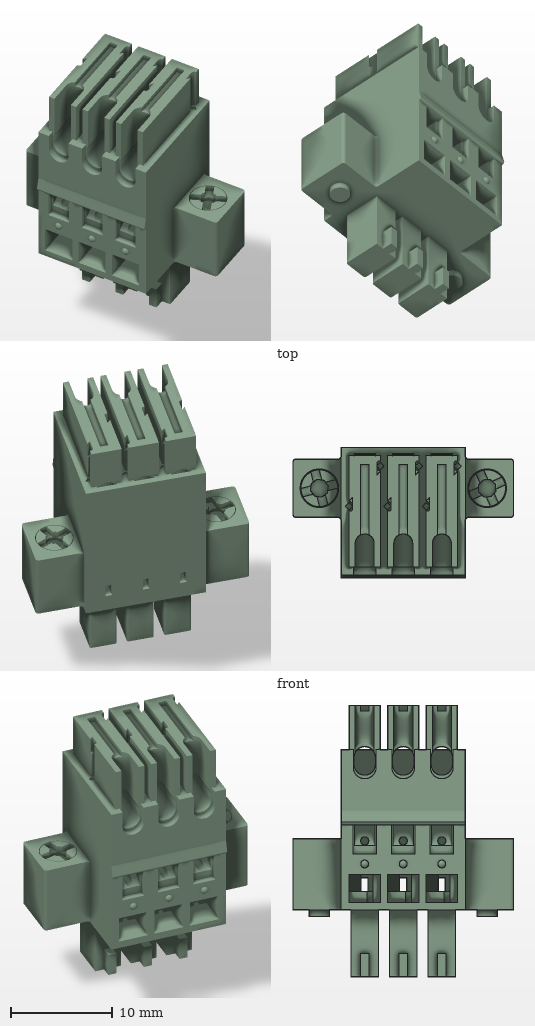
import cadquery as cq
import math

POLES = 3
PITCH = 3.8
pole_x = [(i - (POLES - 1) / 2) * PITCH for i in range(POLES)]

TOTAL_HEIGHT = 26.8
HOUSING_WIDTH = 12.25
HOUSING_DEPTH = 12.6
HOUSING_BOTTOM = 6.62
HOUSING_TOP = 22.43

OVERALL_WIDTH = 21.82
FLANGE_TOP = 13.65
FLANGE_FRONT = 5.68
FLANGE_BACK = 11.45
FLANGE_RADIUS = 0.32

SCREW_X = 8.28
SCREW_Y = (FLANGE_FRONT + FLANGE_BACK) / 2
SCREW_HOLE_DIA = 3.8
SCREW_HEAD_DIA = 3.65
SCREW_HEAD_HEIGHT = 2.15
SHANK_DIA = 2.0
SHANK_OVERHANG = 0.67
CROSS_WIDTH = 0.85
CROSS_DEPTH = 0.67
CROSS_CENTER_WIDTH = 1.7
CROSS_CENTER_DEPTH = 1.07
PIT_SIDES = 8
PIT_SIDE_ANGLE = 360 / PIT_SIDES
LEFT_CROSS_TURN = 14
RIGHT_CROSS_TURN = 24

LEVER_WIDTH = 3.08
LEVER_FRONT = 0.78
LEVER_BACK = 11.8
LEVER_BOTTOM = 16.62
SLOT_WIDTH = 0.85
SLOT_BACK = 10.9
SLOT_DEPTH = 0.55
SCOOP_WIDTH = 1.88
SCOOP_BACK = 4.05
CHANNEL_DIA = 2.1
CHANNEL_BOTTOM = 19.9
CHANNEL_TOP = 22.73

NOTCH_DEPTH = 0.35
NOTCH_FRONT = 6.3
NOTCH_BACK = 7.32
NOTCH_UNDERCUT = 0.35
NOTCH_CHAMFER = 0.15
NOTCH_TURN_Y = 8.76
KEY_FRONT = 7.08
KEY_TOP = 25.17
DIAMOND_Y = 6.78
DIAMOND_HALF_DIAGONAL = 0.38
DIAMOND_DEPTH = 0.27

FRONT_NOTCH_WIDTH = 2.25
FRONT_NOTCH_BOTTOM = 19.56
RELIEF_WIDTH = 2.1
RELIEF_DEPTH = 0.2
RELIEF_HEIGHT = 3.22

FRONT_PROTRUSION = 0.3
BEAD_TOP = 16.4
BEAD_BOTTOM = 15
BEAD_CORNER = 0.27
DOME_DIA = 0.8
DOME_Z = 11.15

WINDOW_WIDTH = 2.33
WINDOW_BOTTOM = 12.11
WINDOW_DEPTH = 0.65
RAMP_WIDTH = 2.06
RAMP_BOTTOM = 12.97
RAMP_LENGTH = 3.35
TEST_HOLE_DIA = 0.8
TEST_HOLE_Z = 13.43
TEST_HOLE_END = 4.82

ENTRY_WIDTH = 3.08
ENTRY_BOTTOM = 7.37
ENTRY_TOP = 10.1
ENTRY_DEPTH = 3.22
FUNNEL_BOTTOM = 8.45
FUNNEL_RIGHT = 0.8
FUNNEL_END = 6.97
WIRE_HOLE_LEFT = -0.35
WIRE_HOLE_RIGHT = 0.32
WIRE_HOLE_TOP = 9.78
GROOVE_RADIUS = 0.55

PLUG_WIDTH = 2.73
PLUG_FRONT = 6.45
PLUG_BACK = 10.53
PLUG_EDGE_RADIUS = 0.2
FOOT_WIDTH = 0.85
FOOT_FRONT = 5.35
FOOT_HEIGHT = 2.33


def block(x0, x1, y0, y1, z0, z1):
    """Axis-aligned box between the given limits."""
    return cq.Workplane().box(x1 - x0, y1 - y0, z1 - z0, centered=False).translate((x0, y0, z0))


def centred_block(x, width, y0, y1, z0, z1):
    """Box of the given width, centred on x."""
    return block(x - width / 2, x + width / 2, y0, y1, z0, z1)


def rod_y(x, z, diameter, y0, y1):
    """Cylinder along Y."""
    return cq.Workplane("XZ", origin=(x, y0, z)).circle(diameter / 2).extrude(y0 - y1)


def rod_z(x, y, diameter, z0, z1):
    """Cylinder along Z."""
    return cq.Workplane(origin=(x, y, z0)).circle(diameter / 2).extrude(z1 - z0)


def prism_z(points, z0, z1):
    """Polygon in XY extruded along Z."""
    return cq.Workplane(origin=(0, 0, z0)).polyline(points).close().extrude(z1 - z0)


def prism_x(points, x, width):
    """Polygon in YZ extruded along X, centred on x."""
    return cq.Workplane("YZ", origin=(x, 0, 0)).polyline(points).close().extrude(width / 2, both=True)


def turned_pair(shape, x):
    """Shape for a lever's left side together with its copy turned half round for the right side."""
    turned = shape.rotate((x, NOTCH_TURN_Y, 0), (x, NOTCH_TURN_Y, 1), 180)
    return [shape, turned]



def lever_block(x):
    """Lever outline with its latch notches and the keys that partly fill them."""
    body = centred_block(x, LEVER_WIDTH, LEVER_FRONT, LEVER_BACK, LEVER_BOTTOM, TOTAL_HEIGHT)
    edge = x - LEVER_WIDTH / 2
    inner = edge + NOTCH_DEPTH
    undercut_tip = (inner, NOTCH_BACK + NOTCH_UNDERCUT)
    notch_points = [
        (edge, NOTCH_FRONT),
        (inner - NOTCH_CHAMFER, NOTCH_FRONT),
        (inner, NOTCH_FRONT + NOTCH_CHAMFER),
        undercut_tip,
        (edge, NOTCH_BACK),
    ]
    key_points = [undercut_tip, (edge, NOTCH_BACK), (inner, KEY_FRONT)]
    notch = prism_z(notch_points, LEVER_BOTTOM, TOTAL_HEIGHT)
    notch = notch.cut(prism_z(key_points, LEVER_BOTTOM, KEY_TOP))
    for cutter in turned_pair(notch, x):
        body = body.cut(cutter)
    return body


def make_lever(x):
    lever = lever_block(x)

    lever = lever.cut(
        centred_block(x, SLOT_WIDTH, LEVER_FRONT, SLOT_BACK, TOTAL_HEIGHT - SLOT_DEPTH, TOTAL_HEIGHT)
    )

    lower_center = CHANNEL_BOTTOM + CHANNEL_DIA / 2
    upper_center = CHANNEL_TOP - CHANNEL_DIA / 2
    round_y = SCOOP_BACK - SCOOP_WIDTH / 2
    scoop = centred_block(x, SCOOP_WIDTH, LEVER_FRONT, round_y, lower_center, TOTAL_HEIGHT)
    scoop = scoop.union(rod_z(x, round_y, SCOOP_WIDTH, lower_center, TOTAL_HEIGHT))

    channel = centred_block(x, CHANNEL_DIA, LEVER_FRONT, LEVER_BACK, lower_center, upper_center)
    for z in (lower_center, upper_center):
        channel = channel.union(rod_y(x, z, CHANNEL_DIA, LEVER_FRONT, LEVER_BACK))
    return lever.cut(scoop).cut(channel)



def make_screw(x, turn):
    """Flush screw with a cross recess turned by the given angle."""
    head_bottom = FLANGE_TOP - SCREW_HEAD_HEIGHT
    screw = rod_z(x, SCREW_Y, SCREW_HEAD_DIA, head_bottom, FLANGE_TOP)
    screw = screw.union(rod_z(x, SCREW_Y, SHANK_DIA, HOUSING_BOTTOM - SHANK_OVERHANG, head_bottom))
    for angle in (turn, turn + 90):
        arm = (
            cq.Workplane(origin=(x, SCREW_Y, FLANGE_TOP - CROSS_DEPTH))
            .transformed(rotate=(0, 0, angle))
            .rect(SCREW_HEAD_DIA, CROSS_WIDTH)
            .extrude(CROSS_DEPTH)
        )
        screw = screw.cut(arm)
    center_pit = (
        cq.Workplane(origin=(x, SCREW_Y, FLANGE_TOP - CROSS_CENTER_DEPTH))
        .transformed(rotate=(0, 0, turn + PIT_SIDE_ANGLE / 2))
        .polygon(PIT_SIDES, CROSS_CENTER_WIDTH, circumscribed=True)
        .extrude(CROSS_CENTER_DEPTH)
    )
    return screw.cut(center_pit)



def make_plug(x):
    plug = centred_block(x, PLUG_WIDTH, PLUG_FRONT, PLUG_BACK, 0, HOUSING_BOTTOM)
    plug = plug.edges("|Z and >Y").fillet(PLUG_EDGE_RADIUS)
    return plug.union(centred_block(x, FOOT_WIDTH, FOOT_FRONT, PLUG_FRONT, 0, FOOT_HEIGHT))



def flanges():
    """Both flanges as one bar across the housing, with rounded corners and blended roots."""
    height = FLANGE_TOP - HOUSING_BOTTOM
    depth = FLANGE_BACK - FLANGE_FRONT
    bar = centred_block(0, OVERALL_WIDTH, FLANGE_FRONT, FLANGE_BACK, HOUSING_BOTTOM, FLANGE_TOP)
    bar = bar.edges("|Z").fillet(FLANGE_RADIUS)
    root = centred_block(
        0,
        HOUSING_WIDTH + 2 * FLANGE_RADIUS,
        FLANGE_FRONT - FLANGE_RADIUS,
        FLANGE_BACK + FLANGE_RADIUS,
        HOUSING_BOTTOM,
        FLANGE_TOP,
    )
    blend_x = HOUSING_WIDTH / 2 + FLANGE_RADIUS
    blend_y = depth / 2 + FLANGE_RADIUS
    corners = [(sx * blend_x, sy * blend_y) for sx in (-1, 1) for sy in (-1, 1)]
    hollows = (
        cq.Workplane(origin=(0, SCREW_Y, HOUSING_BOTTOM))
        .pushPoints(corners)
        .circle(FLANGE_RADIUS)
        .extrude(height)
    )
    return bar.union(root.cut(hollows))


def front_bead():
    """Snap bead across the front with a sloped upper face and a rounded lower corner."""
    corner_shift = BEAD_CORNER * (1 - math.sqrt(0.5))
    return (
        cq.Workplane("YZ", origin=(-HOUSING_WIDTH / 2, 0, 0))
        .moveTo(0, BEAD_TOP)
        .lineTo(-FRONT_PROTRUSION, BEAD_BOTTOM + BEAD_CORNER)
        .threePointArc(
            (-FRONT_PROTRUSION + corner_shift, BEAD_BOTTOM + corner_shift),
            (-FRONT_PROTRUSION + BEAD_CORNER, BEAD_BOTTOM),
        )
        .lineTo(0, BEAD_BOTTOM)
        .close()
        .extrude(HOUSING_WIDTH)
    )


def marker_dome(x):
    radius = DOME_DIA / 2
    return cq.Workplane().sphere(radius).translate((x, radius - FRONT_PROTRUSION, DOME_Z))


def screw_hole(x):
    counterbore = rod_z(x, SCREW_Y, SCREW_HOLE_DIA, FLANGE_TOP - SCREW_HEAD_HEIGHT, FLANGE_TOP)
    return counterbore.union(rod_z(x, SCREW_Y, SHANK_DIA, HOUSING_BOTTOM, FLANGE_TOP))


def lever_openings(x):
    """Lever pocket, latch recesses, front notch and the tapered relief behind the lever."""
    cutters = [lever_block(x)]

    edge = x - LEVER_WIDTH / 2
    half = DIAMOND_HALF_DIAGONAL
    diamond_points = [
        (edge - half, DIAMOND_Y),
        (edge, DIAMOND_Y - half),
        (edge + half, DIAMOND_Y),
        (edge, DIAMOND_Y + half),
    ]
    cutters += turned_pair(prism_z(diamond_points, HOUSING_TOP - DIAMOND_DEPTH, HOUSING_TOP), x)

    notch_center = FRONT_NOTCH_BOTTOM + FRONT_NOTCH_WIDTH / 2
    cutters.append(centred_block(x, FRONT_NOTCH_WIDTH, 0, LEVER_FRONT, notch_center, HOUSING_TOP))
    cutters.append(rod_y(x, notch_center, FRONT_NOTCH_WIDTH, 0, LEVER_FRONT))

    relief_points = [
        (LEVER_BACK, HOUSING_TOP),
        (LEVER_BACK + RELIEF_DEPTH, HOUSING_TOP),
        (LEVER_BACK, HOUSING_TOP - RELIEF_HEIGHT),
    ]
    cutters.append(prism_x(relief_points, x, RELIEF_WIDTH))
    return cutters


def test_window(x):
    """Window under the bead, with a narrower ramp rising behind it and a test hole in the ramp."""
    ramp_points = [
        (WINDOW_DEPTH, RAMP_BOTTOM),
        (WINDOW_DEPTH + RAMP_LENGTH, BEAD_BOTTOM),
        (WINDOW_DEPTH, BEAD_BOTTOM),
    ]
    return [
        centred_block(x, WINDOW_WIDTH, 0, WINDOW_DEPTH, WINDOW_BOTTOM, BEAD_BOTTOM),
        prism_x(ramp_points, x, RAMP_WIDTH),
        rod_y(x, TEST_HOLE_Z, TEST_HOLE_DIA, WINDOW_DEPTH, TEST_HOLE_END),
    ]


def wire_entry(x):
    """Entry pocket, funnel with a slanted left wall, through hole and rounded groove."""
    funnel_points = [
        (x - ENTRY_WIDTH / 2, ENTRY_DEPTH),
        (x + FUNNEL_RIGHT, ENTRY_DEPTH),
        (x + FUNNEL_RIGHT, FUNNEL_END),
        (x + WIRE_HOLE_LEFT, FUNNEL_END),
    ]
    groove_right = x + FUNNEL_RIGHT
    groove_left = groove_right - GROOVE_RADIUS
    groove = block(
        groove_left, groove_right, ENTRY_DEPTH, ENTRY_DEPTH + GROOVE_RADIUS, ENTRY_BOTTOM, FUNNEL_BOTTOM
    ).intersect(rod_z(groove_right, ENTRY_DEPTH, 2 * GROOVE_RADIUS, ENTRY_BOTTOM, FUNNEL_BOTTOM))
    return [
        centred_block(x, ENTRY_WIDTH, 0, ENTRY_DEPTH, ENTRY_BOTTOM, ENTRY_TOP),
        prism_z(funnel_points, FUNNEL_BOTTOM, ENTRY_TOP),
        block(
            x + WIRE_HOLE_LEFT,
            x + WIRE_HOLE_RIGHT,
            FUNNEL_END,
            HOUSING_DEPTH,
            FUNNEL_BOTTOM,
            WIRE_HOLE_TOP,
        ),
        groove,
    ]


def make_housing():
    housing = centred_block(0, HOUSING_WIDTH, 0, HOUSING_DEPTH, HOUSING_BOTTOM, HOUSING_TOP)
    housing = housing.union(flanges()).union(front_bead())
    for x in pole_x:
        housing = housing.union(marker_dome(x))
        for cutter in lever_openings(x) + test_window(x) + wire_entry(x):
            housing = housing.cut(cutter)
    for x in (-SCREW_X, SCREW_X):
        housing = housing.cut(screw_hole(x))
    return housing



housing = make_housing()
levers = [make_lever(x).val() for x in pole_x]
plugs = [make_plug(x).val() for x in pole_x]
screws = [
    make_screw(-SCREW_X, LEFT_CROSS_TURN).val(),
    make_screw(SCREW_X, RIGHT_CROSS_TURN).val(),
]

result = cq.Compound.makeCompound([housing.val(), *levers, *plugs, *screws])